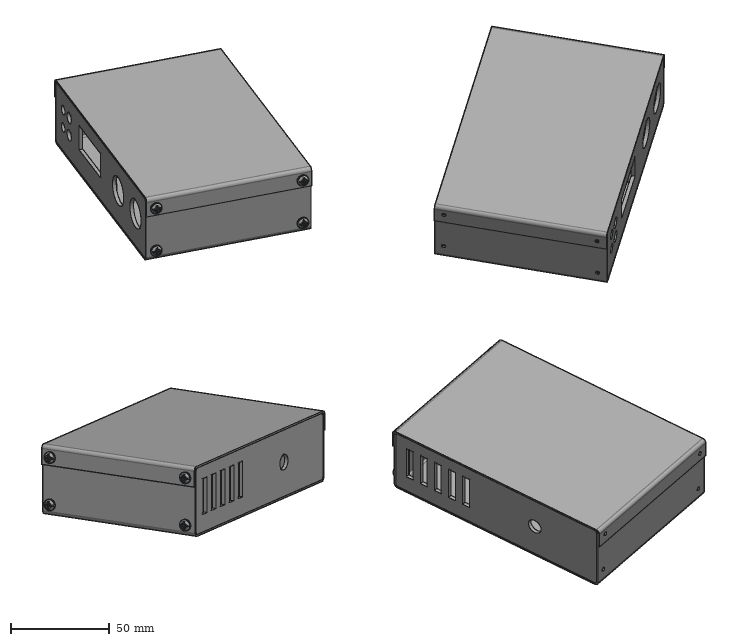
import cadquery as cq

length = 90.0
height = 37.0
cover_left = -67.0
cover_width = 131.9
sheet = 1.0
bend_radius = 2.0
cover_flange = 10.5

panel_thickness = 2.0
panel_corner = 1.2
flange_thickness = 1.0
flange_depth = 10.0

small_button_diameter = 5.0
small_button_x = -54.8
large_button_diameter = 6.0
large_button_x = -46.2
button_rows = [6.5, -3.8]
window_width = 30.4
window_height = 14.2
window_center = (-16.9, 2.5)
socket_diameter = 16.0
socket_centers = [(23.9, 1.3), (48.8, 1.3)]
post_diameter = 6.0
post_center = (1.2, -8.6)
post_length = 5.0

cable_hole_diameter = 8.0
cable_hole_center = (-25.7, 0.5)
vent_count = 5
vent_pitch = 9.0
vent_width = 4.3
vent_height = 18.8
vent_center = (36.0, 1.2)

screw_y = 40.0
screw_z = 12.5
shank_diameter = 3.2
head_diameter = 6.0
head_rim = 1.1
head_round = 1.1
tip_radius = 1.6
head_round_radius = 2.7
recess_width = 0.8
recess_length = 4.3
recess_depth = 1.1
pilot_diameter = 2.0
pilot_holes = [(40.0, 13.4), (-40.1, 12.6), (40.3, -10.6), (-40.1, -11.5)]

half_height = height / 2
half_length = length / 2
cover_right = cover_left + cover_width
tray_left = cover_left + sheet
tray_right = cover_right - sheet
panel_left = tray_left + sheet
panel_right = tray_right - sheet
left_flange_inside = panel_left + flange_thickness
right_flange_inside = panel_right - flange_thickness
wall_top = half_height - bend_radius
inner_height = height - 2 * sheet
screw_places = [(y, z) for y in (-screw_y, screw_y) for z in (-screw_z, screw_z)]


def block(x_range, y_range, z_range):
    """Box between the given limits."""
    size = [high - low for low, high in (x_range, y_range, z_range)]
    return cq.Workplane().box(*size, centered=False).translate((x_range[0], y_range[0], z_range[0]))


def rod_along_x(diameter, x_range, y, z):
    return (
        cq.Workplane("YZ", origin=(x_range[0], y, z))
        .circle(diameter / 2)
        .extrude(x_range[1] - x_range[0])
    )


def rod_along_y(diameter, y_range, x, z):
    return (
        cq.Workplane("XZ", origin=(x, y_range[0], z))
        .circle(diameter / 2)
        .extrude(y_range[0] - y_range[1])
    )


def drill_sides(body):
    """Cut the pilot holes on the left and the screw shank holes on the right."""
    for y, z in pilot_holes:
        body = body.cut(rod_along_x(pilot_diameter, (cover_left, left_flange_inside), y, z))
    for y, z in screw_places:
        body = body.cut(rod_along_x(shank_diameter, (right_flange_inside, cover_right), y, z))
    return body


def bent_channel(left, right, z_low, z_high, bent_edges, hollow):
    """U-shaped sheet along Y: a block with two rounded outer edges, less its rounded hollow."""
    outer = block((left, right), (-half_length, half_length), (z_low, z_high))
    outer = outer.edges(bent_edges).edges("|Y").fillet(bend_radius)
    inner = block((left + sheet, right - sheet), (-half_length, half_length), hollow)
    inner = inner.edges(bent_edges).edges("|Y").fillet(bend_radius - sheet)
    return outer.cut(inner)


def make_cover():
    flange_end = half_height - cover_flange
    hollow = (flange_end, half_height - sheet)
    return drill_sides(bent_channel(cover_left, cover_right, flange_end, half_height, ">Z", hollow))


def make_tray():
    hollow = (sheet - half_height, wall_top)
    return drill_sides(bent_channel(tray_left, tray_right, -half_height, wall_top, "<Z", hollow))


def make_blank_panel(side):
    """End plate with two side flanges; side is -1 for the front and +1 for the rear."""
    outer_y = side * half_length
    plate_y = sorted((outer_y, outer_y - side * panel_thickness))
    flange_y = sorted((outer_y, outer_y - side * flange_depth))
    inner_z = (-inner_height / 2, inner_height / 2)
    flange_z = (panel_corner - inner_height / 2, inner_height / 2 - panel_corner)
    panel = block((panel_left, panel_right), plate_y, inner_z).edges("|Y").fillet(panel_corner)
    for x_range in ((panel_left, left_flange_inside), (right_flange_inside, panel_right)):
        panel = panel.union(block(x_range, flange_y, flange_z))
    return drill_sides(panel)


def make_front_panel():
    panel = make_blank_panel(-1)
    plate_y = (-half_length, panel_thickness - half_length)
    round_openings = [(socket_diameter, x, z) for x, z in socket_centers]
    for z in button_rows:
        round_openings.append((small_button_diameter, small_button_x, z))
        round_openings.append((large_button_diameter, large_button_x, z))
    for diameter, x, z in round_openings:
        panel = panel.cut(rod_along_y(diameter, plate_y, x, z))
    window = cq.Workplane().box(window_width, 2 * panel_thickness, window_height)
    panel = panel.cut(window.translate((window_center[0], -half_length, window_center[1])))
    post_y = (plate_y[1], plate_y[1] + post_length)
    return panel.union(rod_along_y(post_diameter, post_y, *post_center))


def make_rear_panel():
    panel = make_blank_panel(1)
    plate_y = (half_length - panel_thickness, half_length)
    panel = panel.cut(rod_along_y(cable_hole_diameter, plate_y, *cable_hole_center))
    vent = cq.Workplane().box(vent_width, 2 * panel_thickness, vent_height)
    for index in range(vent_count):
        x = vent_center[0] + (index - (vent_count - 1) / 2) * vent_pitch
        panel = panel.cut(vent.translate((x, half_length, vent_center[1])))
    return panel


def make_screw(y, z):
    """Round-headed screw with a cross recess, its shank ending flush inside the panel flange."""
    head_radius = head_diameter / 2
    rim_x = cover_right + head_rim
    tip_x = rim_x + head_round
    screw = (
        cq.Workplane("XY")
        .moveTo(right_flange_inside, 0)
        .lineTo(right_flange_inside, shank_diameter / 2)
        .lineTo(cover_right, shank_diameter / 2)
        .lineTo(cover_right, head_radius)
        .lineTo(rim_x, head_radius)
        .radiusArc((tip_x, tip_radius), head_round_radius)
        .lineTo(tip_x, 0)
        .close()
        .revolve(360, (0, 0, 0), (1, 0, 0))
    )
    for size in ((recess_width, recess_length), (recess_length, recess_width)):
        slot = cq.Workplane().box(2 * recess_depth, *size)
        screw = screw.cut(slot.translate((tip_x, 0, 0)))
    return screw.translate((0, y, z))


cover = make_cover()
tray = make_tray()
front_panel = make_front_panel()
rear_panel = make_rear_panel()
screws = [make_screw(y, z) for y, z in screw_places]

result = cq.Compound.makeCompound(
    [cover.val(), tray.val(), front_panel.val(), rear_panel.val(), *[screw.val() for screw in screws]]
)